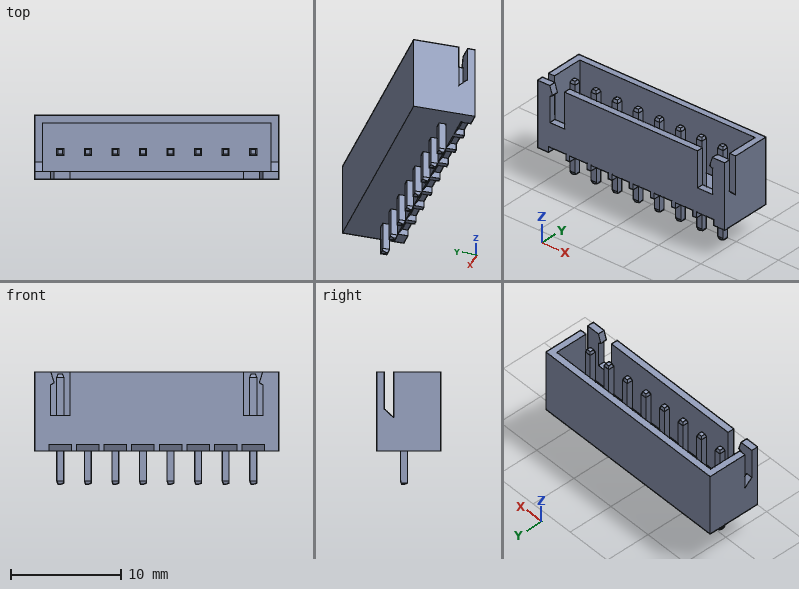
import cadquery as cq


LENGTH = 22.17
DEPTH = 5.83
HEIGHT = 7.2
WALL = 0.7
FLOOR = 1.1

PIN_COUNT = 8
END_TO_PIN = 2.33
PITCH = (LENGTH - 2 * END_TO_PIN) / (PIN_COUNT - 1)
PIN_WIDTH = 0.65
PIN_Y = 2.48
PIN_TOP = HEIGHT - 0.2
PIN_BOTTOM = -3.02
TIP_LENGTH = 0.3
TIP_INSET = 0.1

WINDOW_START = 1.46
WINDOW_END = 3.21
WINDOW_DEPTH = 3.95
HOOK_REACH = 0.3
HOOK_TIP_DEPTH = 0.98
HOOK_BOTTOM_DEPTH = 1.18

END_SLOT_BACK = 1.55
END_SLOT_BACK_DEPTH = 4.15
END_SLOT_FRONT_DEPTH = 3.37

RELIEF_WIDTH = 2.05
RELIEF_HEIGHT = 0.62
RELIEF_ROOF_DEPTH = 0.55
RELIEF_BOTTOM_DEPTH = 0.98

PIN_XS = [-LENGTH / 2 + END_TO_PIN + i * PITCH for i in range(PIN_COUNT)]


def housing_shell():
    """Box with an open-topped cavity."""
    outer = cq.Workplane("XY").box(LENGTH, DEPTH, HEIGHT, centered=(True, False, False))
    cavity = (
        cq.Workplane("XY")
        .box(LENGTH - 2 * WALL, DEPTH - 2 * WALL, HEIGHT - FLOOR, centered=(True, False, False))
        .translate((0, WALL, FLOOR))
    )
    return outer.cut(cavity)


def latch_window():
    """Window cut near the -X end, leaving a snap hook on its outer edge."""
    end = -LENGTH / 2
    return (
        cq.Workplane("XZ")
        .moveTo(end + WINDOW_START, HEIGHT)
        .lineTo(end + WINDOW_START + HOOK_REACH, HEIGHT - HOOK_TIP_DEPTH)
        .lineTo(end + WINDOW_START, HEIGHT - HOOK_BOTTOM_DEPTH)
        .lineTo(end + WINDOW_START, HEIGHT - WINDOW_DEPTH)
        .lineTo(end + WINDOW_END, HEIGHT - WINDOW_DEPTH)
        .lineTo(end + WINDOW_END, HEIGHT)
        .close()
        .extrude(-WALL)
    )


def end_slots():
    """Slots with a ramped bottom, cut through both end walls."""
    return (
        cq.Workplane("YZ")
        .moveTo(WALL, HEIGHT)
        .lineTo(WALL, HEIGHT - END_SLOT_FRONT_DEPTH)
        .lineTo(END_SLOT_BACK, HEIGHT - END_SLOT_BACK_DEPTH)
        .lineTo(END_SLOT_BACK, HEIGHT)
        .close()
        .extrude(LENGTH / 2, both=True)
    )


def relief(x):
    """Notch with a flat roof and a sloped back, cut in front of one pin."""
    return (
        cq.Workplane("YZ")
        .moveTo(0, 0)
        .lineTo(0, RELIEF_HEIGHT)
        .lineTo(RELIEF_ROOF_DEPTH, RELIEF_HEIGHT)
        .lineTo(RELIEF_BOTTOM_DEPTH, 0)
        .close()
        .extrude(RELIEF_WIDTH / 2, both=True)
        .translate((x, 0, 0))
    )


def pin(x):
    """Square pin with a tapered tip at each end."""
    return (
        cq.Workplane("XY")
        .box(PIN_WIDTH, PIN_WIDTH, PIN_TOP - PIN_BOTTOM, centered=(True, True, False))
        .faces(">Z")
        .chamfer(TIP_LENGTH, TIP_INSET)
        .faces("<Z")
        .chamfer(TIP_LENGTH, TIP_INSET)
        .translate((x, PIN_Y, PIN_BOTTOM))
    )


window = latch_window()
result = housing_shell().cut(window).cut(window.mirror("YZ")).cut(end_slots())
for pin_x in PIN_XS:
    result = result.cut(relief(pin_x))
for pin_x in PIN_XS:
    result = result.union(pin(pin_x))